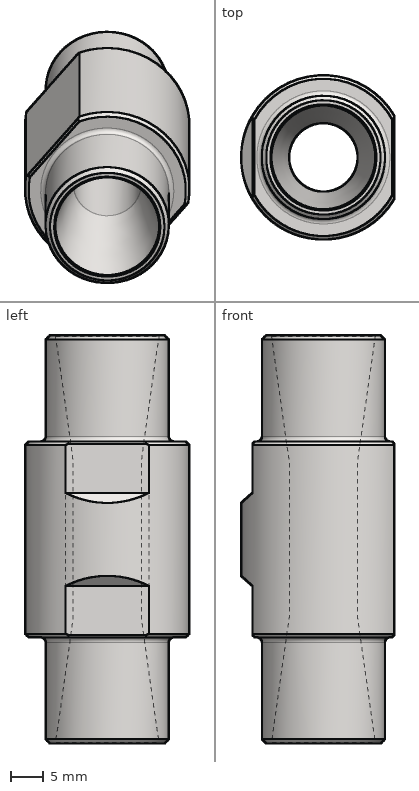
import cadquery as cq
import math

total_length = 63.0
body_radius = 25.4 / 2
neck_radius = 9.5
neck_length = 16.4
bore_radius = 10.5 / 2

body_chamfer = 0.55
flat_chamfer = 0.4
end_chamfer = 0.7
root_fillet = 0.75

mouth_radius = 8.0
mouth_depth = 19.5
lead_in = 0.2

flat_distance = 10.95
flat_length = 7.95
ramp_angle = 42.0
ramp_length = (body_radius - flat_distance) * math.tan(math.radians(ramp_angle))

half_length = total_length / 2
half_body = half_length - neck_length


def make_outside():
    """Central body with a neck at each end and a fillet at each neck root."""
    body = cq.Workplane("XY").circle(body_radius).extrude(half_body, both=True)
    necks = cq.Workplane("XY").circle(neck_radius).extrude(half_length, both=True)
    body = cut_flats(body.faces("<Z or >Z").edges().chamfer(body_chamfer))
    body = body.faces("<Z or >Z").edges("|Y").chamfer(flat_chamfer)
    necks = necks.faces("<Z or >Z").edges().chamfer(end_chamfer)
    outside = body.union(necks)
    for end in (-1, 1):
        root_height = end * half_body
        root_zone = cq.selectors.BoxSelector(
            (-body_radius, -body_radius, root_height - body_chamfer / 2),
            (body_radius, body_radius, root_height + body_chamfer / 2),
        )
        root_edge = outside.edges(root_zone).edges(cq.selectors.RadiusNthSelector(0))
        outside = root_edge.fillet(root_fillet)
    return outside


def cut_flats(body):
    """One full-length flat on +X; two flats with ramped inner ends on -X."""
    width = 2 * body_radius
    full_flat = cq.Workplane("XY").box(width, width, total_length).translate(
        (flat_distance + width / 2, 0, 0)
    )
    inner_end = half_body - flat_length
    end_flat = (
        cq.Workplane("XZ")
        .moveTo(-flat_distance, half_body)
        .lineTo(-flat_distance, inner_end)
        .lineTo(-body_radius, inner_end - ramp_length)
        .lineTo(-width, inner_end - ramp_length)
        .lineTo(-width, half_body)
        .close()
        .extrude(width, both=True)
    )
    return body.cut(full_flat).cut(end_flat).cut(end_flat.mirror("XY"))


def make_bore():
    """Through bore opening into a cone at each end."""
    cone_end = half_length - mouth_depth
    half_bore = (
        cq.Workplane("XZ")
        .moveTo(0, 0)
        .lineTo(bore_radius, 0)
        .lineTo(bore_radius, cone_end)
        .lineTo(mouth_radius, half_length - lead_in)
        .lineTo(mouth_radius + lead_in, half_length)
        .lineTo(0, half_length)
        .close()
        .revolve(360, (0, 0, 0), (0, 1, 0))
    )
    return half_bore.union(half_bore.mirror("XY"))


result = make_outside().cut(make_bore())